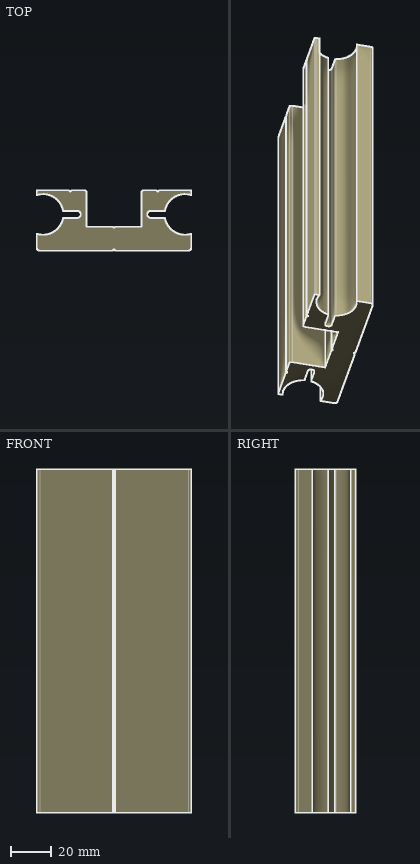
import cadquery as cq
import math

width = 76.6
depth = 30.0
length = 170.0

channel_width = 27.0
base_thickness = 12.0

groove_radius = 10.0
groove_height = 18.0
groove_center_inset = 3.2
slot_width = 3.3
slot_end_offset = 16.5

mark_width = 1.4
mark_depth = 0.7
arm_mark_offset = 21.7

base_edge_radius = 1.5
channel_edge_radius = 1.2
lip_edge_radius = 0.5
slot_mouth_radius = 0.5

half_width = width / 2
half_channel = channel_width / 2
base_y = -depth / 2
top_y = depth / 2
floor_y = base_y + base_thickness
groove_y = base_y + groove_height
groove_x = half_width - groove_center_inset
slot_mouth_x = groove_x - math.sqrt(groove_radius**2 - (slot_width / 2) ** 2)


def make_body():
    """U-shaped extrusion centred on the origin."""
    body = cq.Workplane("XY").box(width, depth, length)
    channel = cq.Workplane("XY").box(channel_width, depth, length)
    return body.cut(channel.translate((0, base_thickness, 0)))


def make_side_groove(side):
    """Round groove and round-ended slot; side is -1 or 1 along X."""
    end_plane = cq.Workplane("XY", origin=(0, 0, -length / 2))
    round_groove = end_plane.center(side * groove_x, groove_y).circle(groove_radius).extrude(length)
    slot_length = groove_x - slot_end_offset
    slot_center_x = slot_end_offset + slot_length / 2
    slot = end_plane.center(side * slot_center_x, groove_y).slot2D(slot_length, slot_width).extrude(length)
    return round_groove.union(slot)


def make_mark(x, surface_y, inward):
    """V-shaped cutter; inward is the Y direction into the material."""
    return (
        cq.Workplane("XY", origin=(0, 0, -length / 2))
        .moveTo(x - mark_width / 2, surface_y)
        .lineTo(x, surface_y + inward * mark_depth)
        .lineTo(x + mark_width / 2, surface_y)
        .close()
        .extrude(length)
    )


def round_long_edges(body, x, y, radius):
    """Round the mirrored pair of long edges at (-x, y) and (x, y)."""
    for side in (-1, 1):
        edge = cq.selectors.NearestToPointSelector((side * x, y, 0))
        body = body.edges("|Z").edges(edge).fillet(radius)
    return body


part = make_body()
for side in (-1, 1):
    part = part.cut(make_side_groove(side))

part = round_long_edges(part, half_width, base_y, base_edge_radius)
part = round_long_edges(part, half_channel, top_y, channel_edge_radius)
part = round_long_edges(part, half_width, top_y, lip_edge_radius)
for slot_side in (-1, 1):
    slot_edge_y = groove_y + slot_side * slot_width / 2
    part = round_long_edges(part, slot_mouth_x, slot_edge_y, slot_mouth_radius)

part = part.cut(make_mark(0, base_y, 1))
part = part.cut(make_mark(0, floor_y, -1))
for side in (-1, 1):
    part = part.cut(make_mark(side * arm_mark_offset, top_y, -1))

result = part